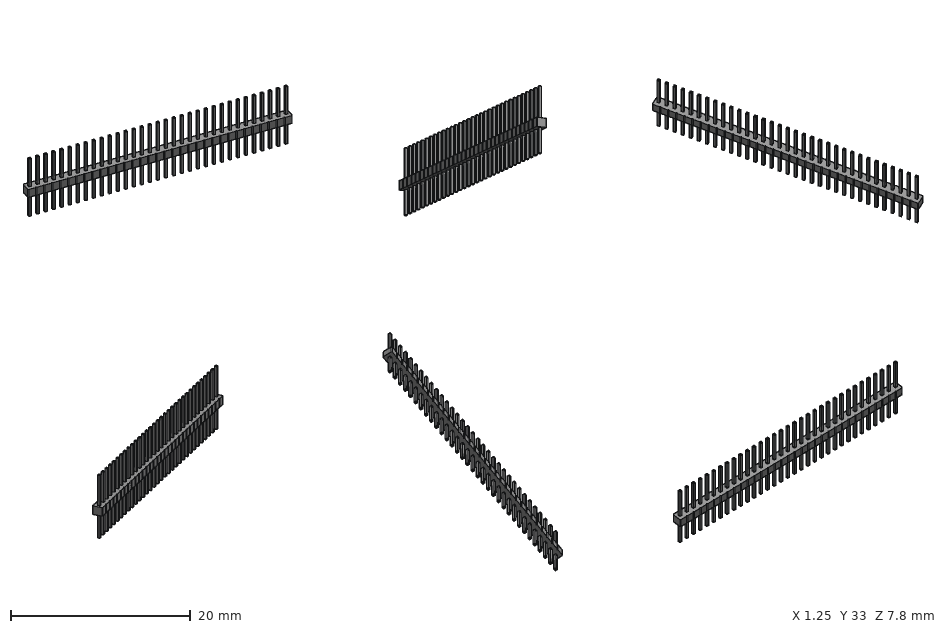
import cadquery as cq

pin_count = 33
strip_length = 33.0
pitch = strip_length / pin_count

strip_width = 1.25
strip_height = 1.05
corner_chamfer = 0.1

pin_length = 7.8
pin_width = 0.3
tip_chamfer = 0.082
pin_below_strip = 2.97

pin_places = [(0, (i - (pin_count - 1) / 2) * pitch) for i in range(pin_count)]


def make_segment():
    """One pitch of the insulator, with its four upright edges chamfered."""
    block = cq.Workplane("XY").box(strip_width, pitch, strip_height, centered=(True, True, False))
    return block.edges("|Z").chamfer(corner_chamfer)


def make_pin():
    """One square pin with both tips chamfered."""
    bar = cq.Workplane("XY").box(pin_width, pin_width, pin_length, centered=(True, True, False))
    return bar.faces("<Z or >Z").chamfer(tip_chamfer).translate((0, 0, -pin_below_strip))


def repeat_along_strip(shape):
    """Place a copy of the shape at every pin position."""
    solid = shape.val()
    places = cq.Workplane("XY").pushPoints(pin_places)
    return places.eachpoint(lambda place: solid.moved(place))


strip = repeat_along_strip(make_segment()).combine()
pins = repeat_along_strip(make_pin())

result = strip.union(pins)